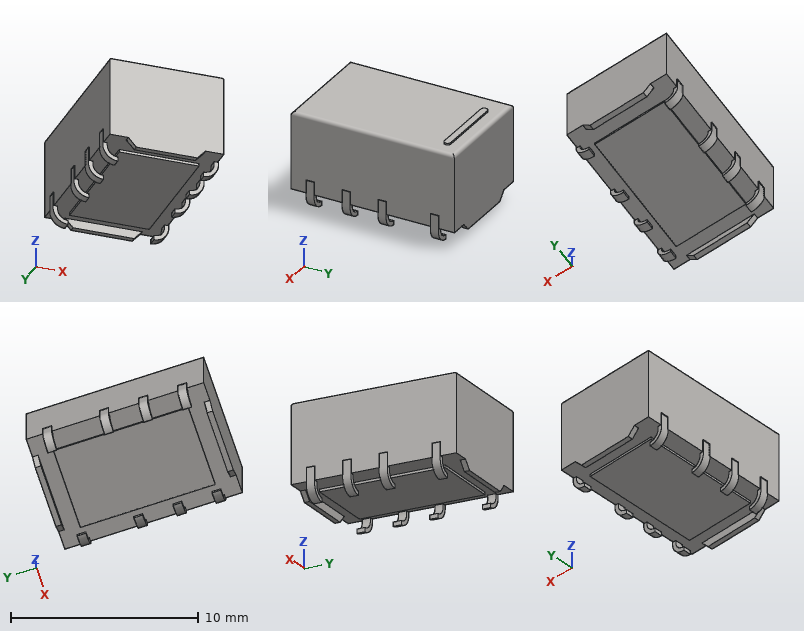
import cadquery as cq
import math

housing_width = 6.5
housing_length = 10.0
housing_height = 4.7
top_edge_radius = 0.22

mark_length = 4.4
mark_width = 0.4
mark_height = 0.1
mark_x = 0.2
mark_y = 4.0

foot_drop = 0.5
foot_inset = 0.07
foot_thickness = 0.32
foot_top_width = 4.54
foot_bottom_width = 3.48

pin_width = 0.5
pin_thickness = 0.25
pin_proud = 0.05
pin_top = 0.8
pin_bottom = -1.0
pin_bend_radius = 0.85
pin_row = (3.8, 0.6, -1.6, -3.8)

plate_width = foot_top_width
plate_length = pin_row[0] - pin_row[-1]
plate_thickness = 0.15
plate_gap = 0.14


def make_case():
    block = cq.Workplane("XY").box(
        housing_width, housing_length, housing_height, centered=(True, True, False)
    )
    return block.faces(">Z").edges().fillet(top_edge_radius)


def make_mark():
    return (
        cq.Workplane("XY", origin=(mark_x, mark_y, housing_height))
        .slot2D(mark_length, mark_width)
        .extrude(mark_height)
    )


def make_foot(end):
    """Tapered foot flush with the end wall; end is -1 or +1 along Y."""
    centre_y = end * (housing_length - foot_thickness) / 2
    return (
        cq.Workplane("XZ", origin=(0, centre_y, 0))
        .moveTo(-foot_top_width / 2, foot_inset)
        .lineTo(foot_top_width / 2, foot_inset)
        .lineTo(foot_bottom_width / 2, -foot_drop)
        .lineTo(-foot_bottom_width / 2, -foot_drop)
        .close()
        .extrude(foot_thickness / 2, both=True)
    )


def make_pin(side, y):
    """Pin that runs down the side wall and curls inward; side is -1 or +1 along X."""
    outer_x = housing_width / 2 + pin_proud
    inner_x = outer_x - pin_thickness
    tip_x = outer_x - pin_bend_radius
    bend_z = pin_bottom + pin_bend_radius
    inner_radius = pin_bend_radius - pin_thickness
    diagonal = math.sqrt(0.5)
    return (
        cq.Workplane("XZ", origin=(0, y, 0))
        .moveTo(side * outer_x, pin_top)
        .lineTo(side * outer_x, bend_z)
        .threePointArc(
            (side * (tip_x + pin_bend_radius * diagonal), bend_z - pin_bend_radius * diagonal),
            (side * tip_x, pin_bottom),
        )
        .lineTo(side * tip_x, pin_bottom + pin_thickness)
        .threePointArc(
            (side * (tip_x + inner_radius * diagonal), bend_z - inner_radius * diagonal),
            (side * inner_x, bend_z),
        )
        .lineTo(side * inner_x, pin_top)
        .close()
        .extrude(pin_width / 2, both=True)
    )


def make_housing():
    """Case with its mark, feet and pins as one solid."""
    body = make_case().union(make_mark())
    for end in (-1, 1):
        body = body.union(make_foot(end))
    for side in (-1, 1):
        for y in pin_row:
            body = body.union(make_pin(side, y))
    return body


def make_plate():
    return (
        cq.Workplane("XY", origin=(0, 0, -plate_gap))
        .rect(plate_width, plate_length)
        .extrude(-plate_thickness)
    )


housing = make_housing()
plate = make_plate()

result = cq.Compound.makeCompound([housing.solids().val(), plate.val()])